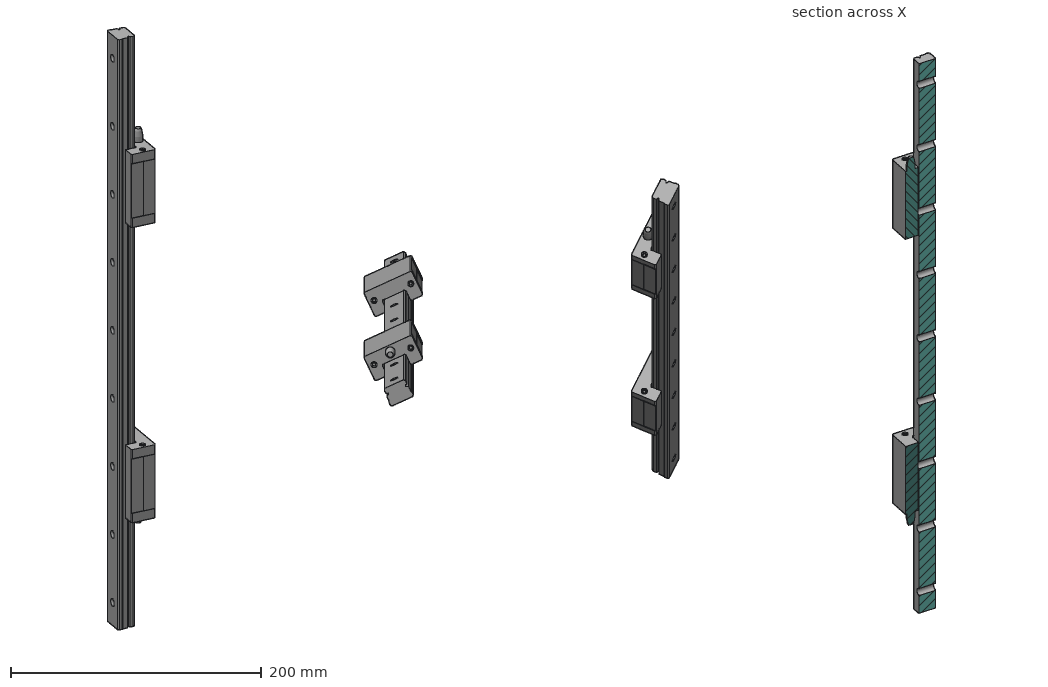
import cadquery as cq

RAIL_LENGTH = 520.0
RAIL_HEIGHT = 15.5
RAIL_WIDTH = 20.5
BASE_CHAMFER = 1.0
LEDGE_Y = 3.55
LEDGE_HEIGHT = 0.8

FLANK_INSET = 0.5
GROOVE_INSET = 2.5
HEAD_BOTTOM_INSET = 1.0
SHOULDER_INSET = 0.8
RAIL_TOP_INSET = 1.8

SHOULDER_HEIGHT = 1.8
HEAD_SIDE_HEIGHT = 2.5
GROOVE_UPPER_HEIGHT = 0.5
GROOVE_FLOOR_HEIGHT = 0.8
GROOVE_LOWER_HEIGHT = 1.15
SHOULDER_Y = RAIL_HEIGHT - SHOULDER_HEIGHT
HEAD_BOTTOM_Y = SHOULDER_Y - HEAD_SIDE_HEIGHT
GROOVE_FLOOR_TOP_Y = HEAD_BOTTOM_Y - GROOVE_UPPER_HEIGHT
GROOVE_FLOOR_BOTTOM_Y = GROOVE_FLOOR_TOP_Y - GROOVE_FLOOR_HEIGHT
FLANK_TOP_Y = GROOVE_FLOOR_BOTTOM_Y - GROOVE_LOWER_HEIGHT

HOLE_COUNT = 9
HOLE_END_MARGIN = 20.5
HOLE_PITCH = (RAIL_LENGTH - 2 * HOLE_END_MARGIN) / (HOLE_COUNT - 1)
HOLE_DIAMETER = 6.0

CARRIAGE_WIDTH = 42.0
CARRIAGE_LENGTH = 64.5
CARRIAGE_TOP_Y = 28.0
CARRIAGE_HEIGHT = 22.0
CARRIAGE_BOTTOM_Y = CARRIAGE_TOP_Y - CARRIAGE_HEIGHT
CARRIAGE_OFFSET = 130.0
BOTTOM_CHAMFER = 1.0
TOP_CHAMFER = 1.0

CHANNEL_CLEARANCE = 0.5
CHANNEL_WIDTH = RAIL_WIDTH + CHANNEL_CLEARANCE
CHANNEL_TOP_Y = RAIL_HEIGHT + CHANNEL_CLEARANCE
CHANNEL_CHAMFER = 1.0

CAP_LENGTH = 8.5
SIDE_STEP_Y = 17.0
UPPER_SIDE_RECESS = 0.25
LOWER_SIDE_RECESS = 0.5

SCREW_X = 16.0
SCREW_Y = 18.5
SCREW_HEAD_DIAMETER = 4.8
SCREW_HEAD_DEPTH = 1.0
SCREW_HOLE_DIAMETER = 2.5
SCREW_HOLE_DEPTH = 2.0

NIPPLE_Y = 23.0
NIPPLE_LENGTH = 11.5
COLLAR_DIAMETER = 8.0
COLLAR_LENGTH = 4.5
TAPER_END_DIAMETER = 6.0
TAPER_END_HEIGHT = 9.5
TIP_DIAMETER = 4.4


def make_rail():
    half = RAIL_WIDTH / 2
    right_side = [
        (half - BASE_CHAMFER, 0),
        (half, BASE_CHAMFER),
        (half, LEDGE_Y),
        (half - FLANK_INSET, LEDGE_Y + LEDGE_HEIGHT),
        (half - FLANK_INSET, FLANK_TOP_Y),
        (half - GROOVE_INSET, GROOVE_FLOOR_BOTTOM_Y),
        (half - GROOVE_INSET, GROOVE_FLOOR_TOP_Y),
        (half - HEAD_BOTTOM_INSET, HEAD_BOTTOM_Y),
        (half - SHOULDER_INSET, SHOULDER_Y),
        (half - RAIL_TOP_INSET, RAIL_HEIGHT),
    ]
    left_side = [(-x, y) for x, y in reversed(right_side)]
    bar = (
        cq.Workplane("XY", origin=(0, 0, -RAIL_LENGTH / 2))
        .polyline(right_side + left_side)
        .close()
        .extrude(RAIL_LENGTH)
    )
    holes = (
        cq.Workplane("XZ")
        .rarray(5, HOLE_PITCH, 1, HOLE_COUNT)
        .circle(HOLE_DIAMETER / 2)
        .extrude(-RAIL_HEIGHT)
    )
    return bar.cut(holes)


def carriage_block():
    block = (
        cq.Workplane("XY")
        .box(CARRIAGE_WIDTH, CARRIAGE_HEIGHT, CARRIAGE_LENGTH)
        .translate((0, CARRIAGE_BOTTOM_Y + CARRIAGE_HEIGHT / 2, 0))
    )
    block = block.edges("|Z and <Y").chamfer(BOTTOM_CHAMFER)
    return block.edges("|Z and >Y").chamfer(TOP_CHAMFER)


def rail_channel():
    return (
        cq.Workplane("XY")
        .box(CHANNEL_WIDTH, CHANNEL_TOP_Y, CARRIAGE_LENGTH)
        .translate((0, CHANNEL_TOP_Y / 2, 0))
        .edges("|Z and >Y")
        .chamfer(CHANNEL_CHAMFER)
    )


def side_recess(side, bottom, top, depth):
    return (
        cq.Workplane("XY")
        .box(2 * depth, top - bottom, CARRIAGE_LENGTH - 2 * CAP_LENGTH)
        .translate((side * CARRIAGE_WIDTH / 2, (top + bottom) / 2, 0))
    )


def screw_holes(end, diameter, depth):
    return (
        cq.Workplane("XY", origin=(0, SCREW_Y, end * CARRIAGE_LENGTH / 2))
        .rarray(2 * SCREW_X, 5, 2, 1)
        .circle(diameter / 2)
        .extrude(-end * depth)
    )


def grease_nipple():
    return (
        cq.Workplane("XZ")
        .lineTo(COLLAR_DIAMETER / 2, 0)
        .lineTo(COLLAR_DIAMETER / 2, COLLAR_LENGTH)
        .lineTo(TAPER_END_DIAMETER / 2, TAPER_END_HEIGHT)
        .lineTo(TIP_DIAMETER / 2, NIPPLE_LENGTH)
        .lineTo(0, NIPPLE_LENGTH)
        .close()
        .revolve(360, (0, 0), (0, 1))
        .translate((0, NIPPLE_Y, CARRIAGE_LENGTH / 2))
    )


def make_carriage():
    """Carriage centred on Z = 0 with its nipple at the +Z end."""
    body = carriage_block().cut(rail_channel())
    for sign in (-1, 1):
        body = body.cut(side_recess(sign, SIDE_STEP_Y, CARRIAGE_TOP_Y, UPPER_SIDE_RECESS))
        body = body.cut(side_recess(sign, CARRIAGE_BOTTOM_Y, SIDE_STEP_Y, LOWER_SIDE_RECESS))
        body = body.cut(screw_holes(sign, SCREW_HEAD_DIAMETER, SCREW_HEAD_DEPTH))
        body = body.cut(screw_holes(sign, SCREW_HOLE_DIAMETER, SCREW_HOLE_DEPTH))
    return body.union(grease_nipple())


rail = make_rail()
carriage = make_carriage()
upper_carriage = carriage.translate((0, 0, CARRIAGE_OFFSET))
lower_carriage = carriage.mirror("XY").translate((0, 0, -CARRIAGE_OFFSET))

result = cq.Compound.makeCompound([rail.val(), upper_carriage.val(), lower_carriage.val()])